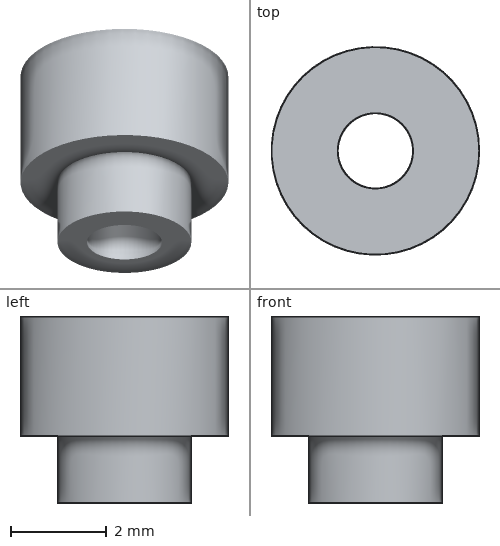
import cadquery as cq

head_diameter = 4.35
neck_diameter = 2.8
bore_diameter = 1.57
total_height = 3.9
head_height = 2.5
neck_height = total_height - head_height

neck = cq.Workplane("XY").circle(neck_diameter / 2).extrude(neck_height)

stepped_body = neck.faces(">Z").workplane().circle(head_diameter / 2).extrude(head_height)

result = stepped_body.faces(">Z").workplane().hole(bore_diameter)